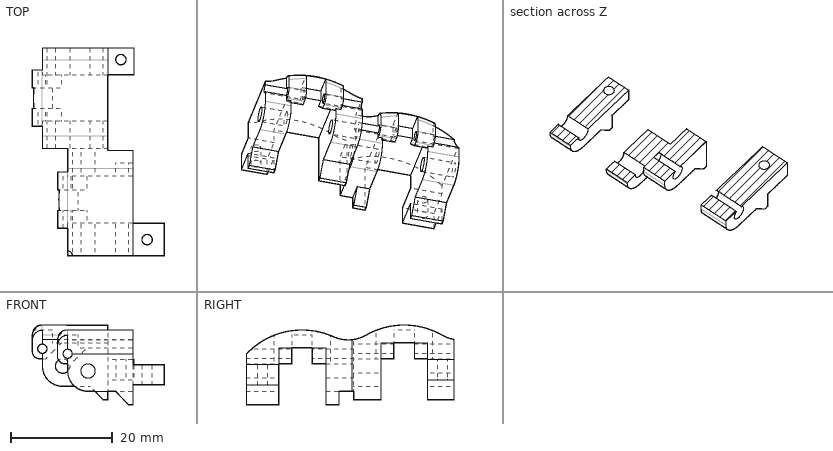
import cadquery as cq
import math

LENGTH = 40.85
STEP_X = 5.0
STEP_Z = 1.0
BODY_WIDTH = 12.85
KNUCKLE_REACH = 2.0
KNUCKLE_ROUND = 1.5
KNUCKLE_FOOT = 0.6
BODY_ROUND = 4.0
KNUCKLE_FILLET = 1.95

BODY_BOTTOM = 2.65
TAB_BOTTOM = 3.92
TAB_THICKNESS = 4.0
PIVOT_HEIGHT = 10.05
CEILING = 11.2
RECESS_TOP = 13.73
CREST = 14.75

HOOK_TIP = 0.9
HOOK_ROOT = 3.47

PIVOT_DIAMETER = 1.8
SCREW_DIAMETER = 2.0
PIN_DIAMETER = 2.8

CREST_RADIUS = 15.0
VALLEY_RADIUS = 7.0
FRONT_CREST_Y = 10.95
REAR_CREST_Y = 31.0

JOINT_Y = 21.08
STEP_CLEARANCE = 0.33
KNUCKLE_LENGTH = 11.1
SLOT_LENGTH = 4.0
FRONT_CAVITY = (6.4, 15.65)
REAR_CAVITY = (26.47, 35.6)
SHORT_HOOK_END = 18.2

FRONT_TAB_LENGTH = 6.13
REAR_TAB_LENGTH = 5.15
FRONT_SCREW = (2.75, 3.2)
REAR_SCREW = (2.57, 2.3)

REAR_X = KNUCKLE_REACH
FRONT_X = REAR_X + STEP_X


def block(x, y, z):
    """Box spanning the given (low, high) pairs."""
    return cq.Workplane("XY").box(
        x[1] - x[0], y[1] - y[0], z[1] - z[0], centered=False
    ).translate((x[0], y[0], z[0]))


def rod(x, z, diameter, y):
    """Cylinder along Y spanning the (low, high) pair y."""
    plane = cq.Workplane("XZ", origin=(x, y[0], z))
    return plane.circle(diameter / 2).extrude(y[0] - y[1])


def circle_point(center, radius, angle):
    return (center[0] + radius * math.cos(angle), center[1] + radius * math.sin(angle))


def direction(start, end):
    return math.atan2(end[1] - start[1], end[0] - start[0])


def height_on_crest(center, y):
    return center[1] + math.sqrt(CREST_RADIUS**2 - (y - center[0]) ** 2)


def height_in_valley(center, y):
    return center[1] - math.sqrt(VALLEY_RADIUS**2 - (y - center[0]) ** 2)


def make_roof_prism(x):
    """Everything below the wavy roof: crest, valley, crest and half a valley, all tangent."""
    front = (FRONT_CREST_Y, CREST - CREST_RADIUS)
    rear = (REAR_CREST_Y, CREST + STEP_Z - CREST_RADIUS)
    half_span = math.dist(front, rear) / 2
    rise = math.sqrt((CREST_RADIUS + VALLEY_RADIUS) ** 2 - half_span**2)
    tilt = direction(front, rear)
    middle = ((front[0] + rear[0]) / 2, (front[1] + rear[1]) / 2)
    valley = circle_point(middle, rise, tilt + math.pi / 2)
    end_valley = (2 * rear[0] - valley[0], valley[1])

    front_join = circle_point(front, CREST_RADIUS, direction(front, valley))
    rear_join = circle_point(rear, CREST_RADIUS, direction(rear, valley))
    end_join = (2 * rear[0] - rear_join[0], rear_join[1])
    end_middle_y = (end_join[0] + LENGTH) / 2
    return (
        cq.Workplane("YZ", origin=(x[0], 0, 0))
        .moveTo(0, 0)
        .lineTo(0, height_on_crest(front, 0))
        .threePointArc((front[0], CREST), front_join)
        .threePointArc((valley[0], valley[1] - VALLEY_RADIUS), rear_join)
        .threePointArc((rear[0], CREST + STEP_Z), end_join)
        .threePointArc(
            (end_middle_y, height_in_valley(end_valley, end_middle_y)),
            (LENGTH, height_in_valley(end_valley, LENGTH)),
        )
        .lineTo(LENGTH, 0)
        .close()
        .extrude(x[1] - x[0])
    )


def make_knuckle(face_x, base_z, crest_y):
    """Rounded hinge knuckle that overhangs the housing face and follows its roof."""
    outer_x = face_x - KNUCKLE_REACH
    foot_x = face_x + KNUCKLE_FOOT
    y = (crest_y - KNUCKLE_LENGTH / 2, crest_y + KNUCKLE_LENGTH / 2)
    bottom = base_z + PIVOT_HEIGHT - KNUCKLE_REACH
    ceiling = base_z + CEILING
    inner_x = foot_x + ceiling - bottom
    envelope = (
        cq.Workplane("XZ", origin=(0, y[0], 0))
        .polyline([
            (outer_x, bottom),
            (foot_x, bottom),
            (inner_x, ceiling),
            (inner_x, base_z + CREST),
            (outer_x, base_z + CREST),
        ])
        .close()
        .extrude(y[0] - y[1])
        .edges(cq.selectors.NearestToPointSelector((outer_x, (y[0] + y[1]) / 2, bottom)))
        .fillet(KNUCKLE_ROUND)
    )
    crest_rod = (
        cq.Workplane("YZ", origin=(outer_x, crest_y, base_z + CREST - CREST_RADIUS))
        .circle(CREST_RADIUS)
        .extrude(inner_x - outer_x)
        .faces("<X")
        .edges()
        .fillet(KNUCKLE_FILLET)
    )
    return envelope.intersect(crest_rod)


def make_housing(face_x, base_z, crest_y, body_y, cavity_y, hook_spans):
    """Housing with hooked legs, a cavity between them and a slotted, bored knuckle."""
    side_x = face_x + BODY_WIDTH
    body = block((face_x, side_x), body_y, (base_z + BODY_BOTTOM, base_z + CREST))
    body = body.edges("|Y and <X and <Z").fillet(BODY_ROUND)
    body = body.intersect(make_roof_prism((face_x, side_x)))
    for span in hook_spans:
        hook = (
            cq.Workplane("XZ", origin=(0, span[0], base_z))
            .polyline([
                (side_x, 0),
                (side_x - HOOK_TIP, 0),
                (side_x - HOOK_ROOT, BODY_BOTTOM),
                (side_x, BODY_BOTTOM),
            ])
            .close()
            .extrude(span[0] - span[1])
        )
        body = body.union(hook)

    body = body.cut(block((face_x, side_x), cavity_y, (base_z, base_z + CEILING)))
    body = body.union(make_knuckle(face_x, base_z, crest_y))

    recess_x = (face_x - KNUCKLE_REACH, face_x + KNUCKLE_REACH)
    slot_y = (crest_y - SLOT_LENGTH / 2, crest_y + SLOT_LENGTH / 2)
    body = body.cut(block(recess_x, slot_y, (base_z, base_z + RECESS_TOP)))
    body = body.cut(block((face_x, side_x), slot_y, (base_z, base_z + CEILING)))
    body = body.cut(rod(face_x, base_z + PIVOT_HEIGHT, PIVOT_DIAMETER, body_y))
    pin_height = base_z + BODY_BOTTOM + BODY_ROUND
    return body.cut(rod(face_x + BODY_ROUND, pin_height, PIN_DIAMETER, body_y))


def make_tab(side_x, base_z, length, y, screw_x, screw_y):
    z = (base_z + TAB_BOTTOM, base_z + TAB_BOTTOM + TAB_THICKNESS)
    hole = cq.Workplane("XY", origin=(side_x + screw_x, screw_y, z[0]))
    hole = hole.circle(SCREW_DIAMETER / 2).extrude(TAB_THICKNESS)
    return block((side_x, side_x + length), y, z).cut(hole)


front_side_x = FRONT_X + BODY_WIDTH
rear_side_x = REAR_X + BODY_WIDTH

front_housing = make_housing(
    FRONT_X, 0, FRONT_CREST_Y, (0, JOINT_Y), FRONT_CAVITY,
    [(0, FRONT_CAVITY[0]), (FRONT_CAVITY[1], SHORT_HOOK_END)],
)
step_gap = block((rear_side_x, front_side_x), (JOINT_Y - STEP_CLEARANCE, JOINT_Y), (0, CREST))
front_housing = front_housing.cut(step_gap)

rear_housing = make_housing(
    REAR_X, STEP_Z, REAR_CREST_Y, (JOINT_Y, LENGTH), REAR_CAVITY,
    [(JOINT_Y, REAR_CAVITY[0]), (REAR_CAVITY[1], LENGTH)],
)

front_tab = make_tab(
    front_side_x, 0, FRONT_TAB_LENGTH, (0, FRONT_CAVITY[0]), FRONT_SCREW[0], FRONT_SCREW[1]
)
rear_tab = make_tab(
    rear_side_x, STEP_Z, REAR_TAB_LENGTH, (REAR_CAVITY[1], LENGTH),
    REAR_SCREW[0], LENGTH - REAR_SCREW[1],
)

result = front_housing.union(rear_housing).union(front_tab).union(rear_tab)